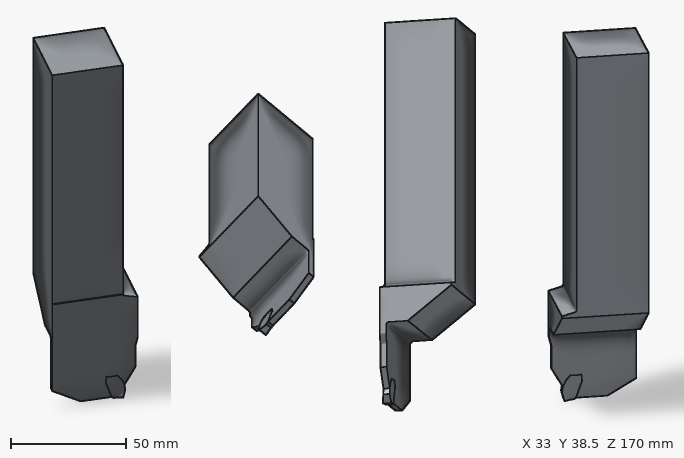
import cadquery as cq

total_height = 170.0
shank_size = 32.0
head_depth = 38.5
head_right = 32.5
left_face_taper = 0.12

shank_end_z = 52.7
flange_tip_z = 50.5
flange_fillet = 1.0
flange_root_z = 52.2
slope_start_z = 49.5
slope_end_x = 19.7
shoulder_z = 34.7
shoulder_fillet = 1.5

blade_left = 29.5
blade_bottom_z = 1.0
blade_relief_y = 37.4
relief_start_z = 29.8
relief_end_z = 25.5
nose_slope_z = 15.0
nose_y = 32.5
nose_z = 6.5
bottom_corner_y = 12.8
bottom_corner_z = 8.3

edge_left = 29.0
edge_right = 33.0
edge_y = 31.8
edge_rise = 0.2
insert_top_z = 11.5
insert_top_back_y = 24.3
insert_top_front_y = 29.2
insert_back_y = 24.0
insert_back_z = 8.8
insert_shoulder_y = 31.3
insert_shoulder_z = 9.2
insert_bottom_y = 26.7
insert_front_y = 32.8
insert_front_z = 3.9
insert_heel_y = 27.7
insert_heel_z = 0.3
flare_end_y = 28.9

insert_outline = [
    (insert_heel_y, insert_heel_z),
    (insert_bottom_y, blade_bottom_z),
    (insert_back_y, insert_back_z),
    (insert_top_back_y, insert_top_z),
    (insert_top_front_y, insert_top_z),
    (insert_shoulder_y, insert_shoulder_z),
    (nose_y, nose_z),
    (insert_front_y, insert_front_z),
    (flare_end_y, insert_heel_z),
]


def side_prism(outline, x_start, x_end):
    """Extrude a closed (Y, Z) outline along X."""
    return cq.Workplane("YZ", origin=(x_start, 0, 0)).polyline(outline).close().extrude(x_end - x_start)


def make_side_body():
    """Shank and blade outline in the YZ plane, extruded to the full width."""
    outline = [
        (0, total_height),
        (0, bottom_corner_z),
        (bottom_corner_y, blade_bottom_z),
        (insert_heel_y, blade_bottom_z),
        (nose_y, nose_z),
        (blade_relief_y, nose_slope_z),
        (blade_relief_y, relief_end_z),
        (head_depth, relief_start_z),
        (head_depth, flange_tip_z),
        (shank_size, flange_root_z),
        (shank_size, total_height),
    ]
    body = side_prism(outline, 0, head_right)
    flange_root = cq.selectors.NearestToPointSelector((head_right / 2, shank_size, flange_root_z))
    return body.edges(flange_root).fillet(flange_fillet)


def make_front_envelope():
    """Stepped (X, Z) outline of the holder, extruded over the head depth."""
    envelope = (
        cq.Workplane("XZ")
        .moveTo(0, total_height)
        .lineTo(0, slope_start_z)
        .lineTo(slope_end_x, shoulder_z)
        .lineTo(blade_left - shoulder_fillet, shoulder_z)
        .radiusArc((blade_left, shoulder_z - shoulder_fillet), shoulder_fillet)
        .lineTo(blade_left, 0)
        .lineTo(head_right, 0)
        .lineTo(head_right, shank_end_z)
        .lineTo(shank_size, shank_end_z)
        .lineTo(shank_size, total_height)
        .close()
        .extrude(-head_depth)
    )
    taper = (
        cq.Workplane("XY")
        .polyline([(0, 0), (left_face_taper, 0), (0, head_depth)])
        .close()
        .extrude(total_height)
    )
    return envelope.cut(taper)


def triangle(*corners):
    """Flat face through three corner points."""
    return cq.Face.makeFromWires(cq.Wire.makePolygon([cq.Vector(*corner) for corner in corners], close=True))


def make_cutting_tip():
    """Wedge that starts at blade width and flares sideways to the wider cutting edge."""
    front_left = (blade_left, insert_front_y, insert_front_z)
    front_right = (head_right, insert_front_y, insert_front_z)
    heel_left = (blade_left, flare_end_y, insert_heel_z)
    heel_right = (head_right, flare_end_y, insert_heel_z)
    tip_left = (edge_left, edge_y, 0)
    tip_right = (edge_right, edge_y, edge_rise)
    faces = [
        triangle(front_left, heel_left, tip_left),
        triangle(front_right, tip_right, heel_right),
        triangle(front_left, tip_left, tip_right),
        triangle(front_left, tip_right, front_right),
        triangle(heel_left, tip_right, tip_left),
        triangle(heel_left, heel_right, tip_right),
        triangle(front_left, front_right, heel_right),
        triangle(front_left, heel_right, heel_left),
    ]
    return cq.Workplane(cq.Solid.makeSolid(cq.Shell.makeShell(faces)))


def make_insert():
    """Blade-thick insert body with its flared cutting tip."""
    return side_prism(insert_outline, blade_left, head_right).union(make_cutting_tip())


def make_holder():
    """Tool holder with a seat cut through the blade for the insert."""
    seat = side_prism(insert_outline, blade_left, head_right)
    return make_side_body().intersect(make_front_envelope()).cut(seat)


holder = make_holder()
insert = make_insert()

result = cq.Compound.makeCompound([holder.solids().val(), insert.solids().val()])